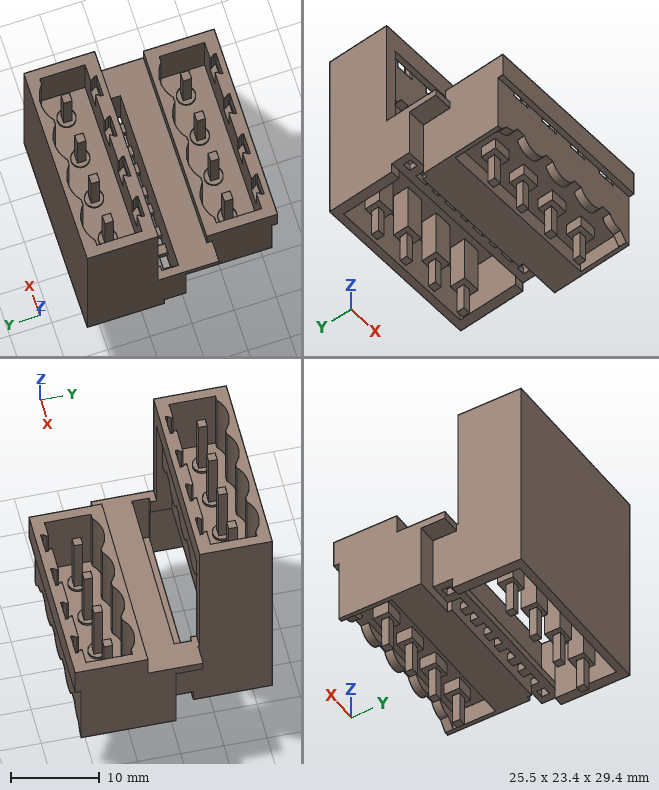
import cadquery as cq
import math


POLES = 4
PITCH = 5.0
ROW_SHIFT = 2.5
ROW_SPACING = 15.0

TOTAL_WIDTH = 25.5
TOTAL_DEPTH = 23.43
REAR_TOP = 26.1
FRONT_TOP = 11.98
HEADER_WIDTH = TOTAL_WIDTH - ROW_SHIFT
HEADER_DEPTH = TOTAL_DEPTH - ROW_SPACING
REAR_FRONT_FACE = ROW_SPACING
FIRST_PIN = (HEADER_WIDTH - (POLES - 1) * PITCH) / 2
PIN_FROM_BACK = 3.75
PIN_FROM_FRONT = HEADER_DEPTH - PIN_FROM_BACK

PIN_SIDE = 1.0
PIN_BELOW = 3.25
PIN_TOP_GAP = 0.82
COLLAR_DIAMETER = 2.17
COLLAR_HEIGHT = 0.3
SOCKET_WIDTH = 2.38
SOCKET_AHEAD = 1.2
SOCKET_BEHIND = 0.88
SOCKET_BOTTOM = 0.82

CAVITY_END_WALL = 1.17
CAVITY_FRONT_WALL = 1.53
CAVITY_BACK_WALL = 1.53
CAVITY_DEPTH = 8.5
LOBE_WIDTH = 4.4
LOBE_RISE = 0.82

KEY_DEPTH = 4.1
KEY_FRONT_WIDTH = 2.45
KEY_BACK_WIDTH = 1.82
KEY_WIDE_END = 0.95
KEY_NARROW_START = 1.35
FACE_SETBACK = 0.7

REAR_LIP_BOTTOM = 22.95
FRONT_LIP_BOTTOM = 8.4
REAR_CREST = 16.75
FRONT_CREST = 2.5
SCALLOP_DEPTH = 1.3
CREST_WIDTH = 1.25
DEEP_SETBACK = 1.75
SCALLOP_END_MARGIN = 0.53

SHELF_TOP = 9.5
SHELF_BOTTOM = 8.49
SHELF_FRONT = TOTAL_DEPTH - 15.65
SHELF_BACK = TOTAL_DEPTH - 8.6

BLOCK_FRONT = TOTAL_DEPTH - 11.75
CHAMBER_FRONT = TOTAL_DEPTH - 11.15
CHAMBER_BACK_WALL = 1.0
CHAMBER_END_WALL = 1.3
SHAFT_END_WALL = 0.97
CHAMBER_TOP = 7.63
NARROW_SLOT_FRONT = TOTAL_DEPTH - 9.15
NOTCH_WIDTH = 3.08
NOTCH_HEIGHT = 1.4

COMB_RAIL_DEPTH = 0.95
COMB_HEIGHT = 1.03
TOOTH_WIDTH = 1.12
TOOTH_OFFSET = 1.4


def block(x0, x1, y0, y1, z0, z1):
    """Box between two opposite corners."""
    return cq.Workplane("XY").box(x1 - x0, y1 - y0, z1 - z0, centered=False).translate((x0, y0, z0))


def pole_positions(left):
    """X of every pin in a header that starts at `left`."""
    return [left + FIRST_PIN + i * PITCH for i in range(POLES)]


def mating_cavity(left, front, top):
    """Open-topped cavity with a round lobe behind each pin and a dovetail slot in front of it."""
    floor = top - CAVITY_DEPTH
    left_side = left + CAVITY_END_WALL
    right_side = left + HEADER_WIDTH - CAVITY_END_WALL
    inner_front = front + CAVITY_FRONT_WALL
    back = front + HEADER_DEPTH - CAVITY_BACK_WALL

    outline = cq.Workplane("XY", origin=(0, 0, floor)).moveTo(left_side, inner_front)
    outline = outline.lineTo(left_side, back)
    for x in pole_positions(left):
        outline = outline.lineTo(x - LOBE_WIDTH / 2, back)
        outline = outline.threePointArc((x, back + LOBE_RISE), (x + LOBE_WIDTH / 2, back))
    outline = outline.lineTo(right_side, back).lineTo(right_side, inner_front)
    cavity = outline.close().extrude(CAVITY_DEPTH)

    for x in pole_positions(left):
        collar = cq.Workplane("XY", origin=(x, front + PIN_FROM_FRONT, floor))
        collar = collar.circle(COLLAR_DIAMETER / 2).extrude(COLLAR_HEIGHT)
        cavity = cavity.union(keying_slot(x, front, top)).cut(collar)
    return cavity


def keying_slot(x, front, top):
    """Dovetail slot centred on `x`, wide at the front and narrow where it meets the cavity."""
    wide = KEY_FRONT_WIDTH / 2
    narrow = KEY_BACK_WIDTH / 2
    return (
        cq.Workplane("XY", origin=(x, front, top - KEY_DEPTH))
        .moveTo(-wide, FACE_SETBACK)
        .lineTo(wide, FACE_SETBACK)
        .lineTo(wide, KEY_WIDE_END)
        .lineTo(narrow, KEY_NARROW_START)
        .lineTo(narrow, CAVITY_FRONT_WALL)
        .lineTo(-narrow, CAVITY_FRONT_WALL)
        .lineTo(-narrow, KEY_NARROW_START)
        .lineTo(-wide, KEY_WIDE_END)
        .close()
        .extrude(KEY_DEPTH)
    )


def scallops(left, front, depth, crest):
    """Space under a wavy edge: a flat crest at each pin, round troughs half-way between pins."""
    low = crest - SCALLOP_DEPTH
    run = PITCH / 2 - CREST_WIDTH / 2
    radius = (run**2 + SCALLOP_DEPTH**2) / (2 * SCALLOP_DEPTH)
    half_angle = math.asin(run / radius) / 2
    mid_x = PITCH / 2 - radius * math.sin(half_angle)
    mid_z = low + radius * (1 - math.cos(half_angle))
    space = cq.Workplane("XY")
    for x in pole_positions(left):
        wave = (
            cq.Workplane("XZ", origin=(x, front, 0))
            .moveTo(-PITCH / 2, 0)
            .lineTo(-PITCH / 2, low)
            .threePointArc((-mid_x, mid_z), (-CREST_WIDTH / 2, crest))
            .lineTo(CREST_WIDTH / 2, crest)
            .threePointArc((mid_x, mid_z), (PITCH / 2, low))
            .lineTo(PITCH / 2, 0)
            .close()
            .extrude(-depth)
        )
        space = space.union(wave)
    return space


def sockets(left, front, top):
    """Rectangular posts around the pins, hanging from the ceiling of a hollow."""
    y0 = front + PIN_FROM_FRONT - SOCKET_AHEAD
    y1 = front + PIN_FROM_FRONT + SOCKET_BEHIND
    half = SOCKET_WIDTH / 2
    posts = cq.Workplane("XY")
    for x in pole_positions(left):
        posts = posts.union(block(x - half, x + half, y0, y1, SOCKET_BOTTOM, top))
    return posts


def rear_recess():
    """Stepped recess in the tall front wall, running down into the chamber."""
    x0 = FIRST_PIN - PITCH / 2
    x1 = x0 + POLES * PITCH
    y = REAR_FRONT_FACE
    upper = block(x0, x1, y, y + FACE_SETBACK, SHELF_TOP, REAR_LIP_BOTTOM)
    lower = scallops(0, y, DEEP_SETBACK, REAR_CREST)
    shelf_slot = block(x0, x1, NARROW_SLOT_FRONT, y, 0, SHELF_TOP)
    return upper.union(lower).union(shelf_slot)


def rear_chamber():
    """Hollow under the tall header, open downwards and through the shelf, with posts and a comb."""
    hollow = block(
        CHAMBER_END_WALL,
        HEADER_WIDTH - CHAMBER_END_WALL,
        NARROW_SLOT_FRONT,
        TOTAL_DEPTH - CHAMBER_BACK_WALL,
        0,
        CHAMBER_TOP,
    )
    x0 = SHAFT_END_WALL
    x1 = HEADER_WIDTH - SHAFT_END_WALL
    shaft = block(x0, x1, CHAMBER_FRONT, NARROW_SLOT_FRONT, 0, SHELF_TOP)
    return hollow.union(shaft).cut(sockets(0, REAR_FRONT_FACE, CHAMBER_TOP)).cut(comb(x0, x1))


def comb(x0, x1):
    """Rail across the chamber with a pair of teeth per pin that join it to the front wall."""
    z0 = NOTCH_HEIGHT
    z1 = NOTCH_HEIGHT + COMB_HEIGHT
    rail_front = NARROW_SLOT_FRONT - COMB_RAIL_DEPTH
    bars = block(x0, x1, rail_front, NARROW_SLOT_FRONT, z0, z1)
    for x in pole_positions(0):
        for centre in (x - TOOTH_OFFSET, x + TOOTH_OFFSET):
            tooth_left = centre - TOOTH_WIDTH / 2
            bars = bars.union(
                block(tooth_left, tooth_left + TOOTH_WIDTH, CHAMBER_FRONT, rail_front, z0, z1)
            )
    return bars


def end_notches():
    """Notches through the lower corners of the chamber, cutting both its end walls and front wall."""
    notches = cq.Workplane("XY")
    for x in (0, HEADER_WIDTH - NOTCH_WIDTH):
        notches = notches.union(
            block(x, x + NOTCH_WIDTH, BLOCK_FRONT, NARROW_SLOT_FRONT, 0, NOTCH_HEIGHT)
        )
    return notches


def front_hollow():
    """Shallow hollow under the low header, open through its scalloped front edge."""
    x0 = ROW_SHIFT + SCALLOP_END_MARGIN
    x1 = TOTAL_WIDTH - SCALLOP_END_MARGIN
    wave_left = ROW_SHIFT + FIRST_PIN - PITCH / 2
    wave_right = wave_left + POLES * PITCH
    low = FRONT_CREST - SCALLOP_DEPTH
    wall = DEEP_SETBACK - FACE_SETBACK
    ends = (
        cq.Workplane("XZ", origin=(0, FACE_SETBACK, 0))
        .polyline([(x0, 0), (wave_left, low), (wave_right, low), (x1, 0)])
        .close()
        .extrude(-wall)
    )
    edge = scallops(ROW_SHIFT, FACE_SETBACK, wall, FRONT_CREST)
    hollow = block(x0, x1, DEEP_SETBACK, HEADER_DEPTH - CHAMBER_BACK_WALL, 0, FRONT_CREST)
    return hollow.cut(sockets(ROW_SHIFT, 0, FRONT_CREST)).union(ends).union(edge)


def make_pin(x, y, top):
    """Straight square pin."""
    half = PIN_SIDE / 2
    return block(x - half, x + half, y - half, y + half, -PIN_BELOW, top - PIN_TOP_GAP)


def make_housing(pins):
    """Both headers and the shelf as one body, with a hole for every pin."""
    body = block(0, HEADER_WIDTH, REAR_FRONT_FACE, TOTAL_DEPTH, 0, REAR_TOP)
    body = body.union(block(0, HEADER_WIDTH, BLOCK_FRONT, REAR_FRONT_FACE, 0, SHELF_TOP))
    body = body.union(block(0, TOTAL_WIDTH, SHELF_FRONT, SHELF_BACK, SHELF_BOTTOM, SHELF_TOP))
    body = body.union(block(ROW_SHIFT, TOTAL_WIDTH, FACE_SETBACK, BLOCK_FRONT, 0, SHELF_TOP))
    body = body.union(block(ROW_SHIFT, TOTAL_WIDTH, 0, HEADER_DEPTH, FRONT_LIP_BOTTOM, FRONT_TOP))
    body = body.cut(rear_recess()).cut(rear_chamber()).cut(end_notches()).cut(front_hollow())
    body = body.cut(mating_cavity(0, REAR_FRONT_FACE, REAR_TOP))
    body = body.cut(mating_cavity(ROW_SHIFT, 0, FRONT_TOP))
    for pin in pins:
        body = body.cut(pin)
    return body


rear_pins = [make_pin(x, REAR_FRONT_FACE + PIN_FROM_FRONT, REAR_TOP) for x in pole_positions(0)]
front_pins = [make_pin(x, PIN_FROM_FRONT, FRONT_TOP) for x in pole_positions(ROW_SHIFT)]
pins = rear_pins + front_pins
housing = make_housing(pins)

result = cq.Compound.makeCompound([housing.val(), *[pin.val() for pin in pins]])